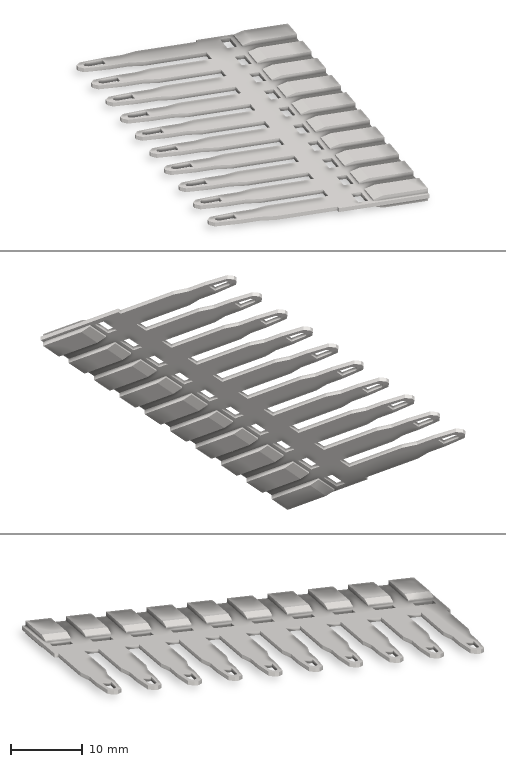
import cadquery as cq

TOOTH_COUNT = 10
LENGTH = 59.2
TOOTH_WIDTH = 3.8
END_MARGIN = 0.56
SHEET_THICKNESS = 0.6
TOOTH_PITCH = (LENGTH - 2 * END_MARGIN - TOOTH_WIDTH) / (TOOTH_COUNT - 1)

SPINE_DEPTH = 3.95
SHOULDER = 13.55
NECK_START = 22.8
NECK_END = 25.0
TAPER_START = 27.9
TIP_CHAMFER_START = 31.55
TIP = 32.2

NECK_WIDTH = 2.7
TIP_WIDTH = 2.1
TIP_FLAT_WIDTH = 0.6

EYE_START = 28.2
EYE_CHAMFER_START = 30.8
EYE_END = 31.2
EYE_START_WIDTH = 1.35
EYE_END_WIDTH = 1.1
EYE_FLAT_WIDTH = 0.5

WINDOW_WIDTH = 3.1
WINDOW_START = 8.8
WINDOW_END = 10.3

PAD_FLAT_LENGTH = 6.7
PAD_LENGTH = 8.15
PAD_END_HEIGHT = 0.25
PAD_SLOPE_RISE = 0.42

TOOTH_CENTRES = [(i - (TOOTH_COUNT - 1) / 2) * TOOTH_PITCH for i in range(TOOTH_COUNT)]


def symmetric_plate(x_centre, profile):
    """Piece of sheet mirrored about x_centre, from (width, distance from back edge) pairs."""
    left = [(x_centre - width / 2, -distance) for width, distance in profile]
    right = [(x_centre + width / 2, -distance) for width, distance in reversed(profile)]
    return (
        cq.Workplane("XY")
        .polyline(left + right)
        .close()
        .extrude(SHEET_THICKNESS / 2, both=True)
    )


def plate(x_centre, width, start, end):
    """Rectangular piece of sheet between two distances from the back edge."""
    return symmetric_plate(x_centre, [(width, start), (width, end)])


def tooth(x):
    """Straight shank, narrower neck and a tapered tip with chamfered corners."""
    return symmetric_plate(x, [
        (TOOTH_WIDTH, SHOULDER),
        (TOOTH_WIDTH, NECK_START),
        (NECK_WIDTH, NECK_END),
        (NECK_WIDTH, TAPER_START),
        (TIP_WIDTH, TIP_CHAMFER_START),
        (TIP_FLAT_WIDTH, TIP),
    ])


def eye(x):
    """Through hole that tapers toward the tip and ends in chamfered corners."""
    return symmetric_plate(x, [
        (EYE_START_WIDTH, EYE_START),
        (EYE_END_WIDTH, EYE_CHAMFER_START),
        (EYE_FLAT_WIDTH, EYE_END),
    ])


def pad(x):
    """Grip pad on the upper face of the sheet, sloping down at its front end."""
    sheet_top = SHEET_THICKNESS / 2
    end_top = sheet_top + PAD_END_HEIGHT
    pad_top = end_top + PAD_SLOPE_RISE
    return (
        cq.Workplane("YZ", origin=(x, 0, 0))
        .moveTo(0, sheet_top)
        .lineTo(0, pad_top)
        .lineTo(-PAD_FLAT_LENGTH, pad_top)
        .lineTo(-PAD_LENGTH, end_top)
        .lineTo(-PAD_LENGTH, sheet_top)
        .close()
        .extrude(TOOTH_WIDTH / 2, both=True)
    )


def make_comb():
    """Contact comb: a cross strip with windows, carrying a row of teeth."""
    comb = plate(0, LENGTH, SPINE_DEPTH, SHOULDER)
    for x in TOOTH_CENTRES:
        comb = comb.union(tooth(x))
        comb = comb.cut(eye(x))
        comb = comb.cut(plate(x, WINDOW_WIDTH, WINDOW_START, WINDOW_END))
    return comb


def make_grip():
    """Grip: a spine behind the comb, with pads clasping it from both faces."""
    grip = plate(0, LENGTH, 0, SPINE_DEPTH)
    for x in TOOTH_CENTRES:
        upper_pad = pad(x)
        grip = grip.union(upper_pad)
        grip = grip.union(upper_pad.mirror("XY"))
    return grip


comb = make_comb()
grip = make_grip()
result = cq.Compound.makeCompound([comb.solids().val(), grip.solids().val()])